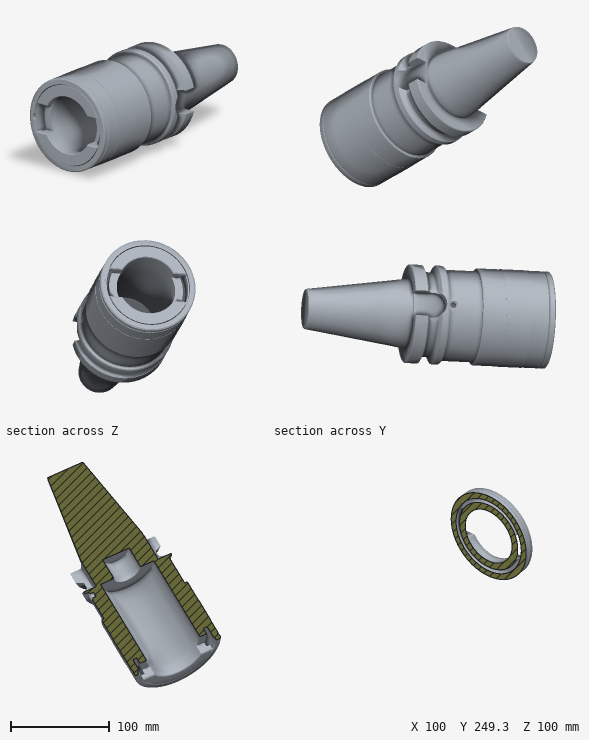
import cadquery as cq
import math

LENGTH = 249.3

GAUGE_RADIUS = 35.2
GAUGE_Y = 147.5
TAPER_PER_SIDE = 7 / 48
TIP_BEVEL_LENGTH = 1.7
TIP_RADIUS = 20.0

FLANGE_RADIUS = 49.98
FLANGE_REAR_Y = 144.5
FLANGE_FRONT_Y = 109.5
FLANGE_REAR_BEVEL = 0.7
FLANGE_FRONT_BEVEL_LENGTH = 1.5
FLANGE_FRONT_BEVEL_DROP = 0.87
GROOVE_RADIUS = 43.0
GROOVE_CENTRE_Y = 124.5
GROOVE_FLOOR_WIDTH = 7.5
GROOVE_MOUTH_WIDTH = 14.7

SLOT_WIDTH = 25.7
SLOT_END_Y = 112.5
SLOT_FLOOR_X = 35.5
SLOT_FLOOR_FILLET = 1.0

NECK_RADIUS = 46.0
SLEEVE_RADIUS = 49.0
MIDDLE_RING_RADIUS = 49.4
SLEEVE_REAR_Y = 75.0
SLEEVE_REAR_BEVEL = 0.7
MIDDLE_RING_REAR_Y = 50.9
MIDDLE_RING_FRONT_Y = 24.5
RING_GROOVE_CENTRE_Y = 6.2
RING_GROOVE_WIDTH = 2.0
RING_GROOVE_DEPTH = 1.0
NOSE_BEVEL_LENGTH = 1.0
NOSE_BEVEL_DROP = 1.2

BORE_RADIUS = 30.2
BORE_DEPTH = 112.2
BORE_BEVEL = 0.7
INNER_HOLE_RADIUS = 15.0
INNER_HOLE_DEPTH = 25.0

RIM_RADIUS = 42.1
RIM_THICKNESS = 5.7
INSERT_BODY_RADIUS = 38.1
GAP_LENGTH = 12.5
SEAM_WIDTH = 1.0
SEAM_DEPTH = 3.7

NOTCH_WIDTH = 29.5
NOTCH_BEVEL_WIDTH = 1.2
NOTCH_BEVEL_DEPTH = 1.0
NOTCH_DEPTH = 11.0

RELIEF_RADIUS = 3.7
RELIEF_DEPTH = 3.7
RELIEF_CENTRE_X = -41.0

SCREW_Y = 104.7
SCREW_HEAD_RADIUS = 4.2
SCREW_HOLE_RADIUS = 2.5
SCREW_HOLE_DEPTH = 5.0

CUT_MARGIN = 12.5


def cylinder(radius, depth):
    """Cylinder on the axis, from the nose face to the given depth."""
    return cq.Workplane("XZ").circle(radius).extrude(-depth)


def make_body():
    """Turned outline, from the taper tip down to the nose."""
    bevel_y = LENGTH - TIP_BEVEL_LENGTH
    bevel_radius = GAUGE_RADIUS - (bevel_y - GAUGE_Y) * TAPER_PER_SIDE
    groove_floor_half = GROOVE_FLOOR_WIDTH / 2
    groove_mouth_half = GROOVE_MOUTH_WIDTH / 2
    ring_groove_half = RING_GROOVE_WIDTH / 2
    outline = [
        (0, LENGTH),
        (TIP_RADIUS, LENGTH),
        (bevel_radius, bevel_y),
        (GAUGE_RADIUS, GAUGE_Y),
        (GAUGE_RADIUS, FLANGE_REAR_Y),
        (FLANGE_RADIUS - FLANGE_REAR_BEVEL, FLANGE_REAR_Y),
        (FLANGE_RADIUS, FLANGE_REAR_Y - FLANGE_REAR_BEVEL),
        (FLANGE_RADIUS, GROOVE_CENTRE_Y + groove_mouth_half),
        (GROOVE_RADIUS, GROOVE_CENTRE_Y + groove_floor_half),
        (GROOVE_RADIUS, GROOVE_CENTRE_Y - groove_floor_half),
        (FLANGE_RADIUS, GROOVE_CENTRE_Y - groove_mouth_half),
        (FLANGE_RADIUS, FLANGE_FRONT_Y + FLANGE_FRONT_BEVEL_LENGTH),
        (FLANGE_RADIUS - FLANGE_FRONT_BEVEL_DROP, FLANGE_FRONT_Y),
        (NECK_RADIUS, FLANGE_FRONT_Y),
        (NECK_RADIUS, SLEEVE_REAR_Y),
        (SLEEVE_RADIUS - SLEEVE_REAR_BEVEL, SLEEVE_REAR_Y),
        (SLEEVE_RADIUS, SLEEVE_REAR_Y - SLEEVE_REAR_BEVEL),
        (SLEEVE_RADIUS, MIDDLE_RING_REAR_Y),
        (MIDDLE_RING_RADIUS, MIDDLE_RING_REAR_Y),
        (MIDDLE_RING_RADIUS, MIDDLE_RING_FRONT_Y),
        (SLEEVE_RADIUS, MIDDLE_RING_FRONT_Y),
        (SLEEVE_RADIUS, RING_GROOVE_CENTRE_Y + ring_groove_half),
        (SLEEVE_RADIUS - RING_GROOVE_DEPTH, RING_GROOVE_CENTRE_Y),
        (SLEEVE_RADIUS, RING_GROOVE_CENTRE_Y - ring_groove_half),
        (SLEEVE_RADIUS, NOSE_BEVEL_LENGTH),
        (SLEEVE_RADIUS - NOSE_BEVEL_DROP, 0),
        (0, 0),
    ]
    return cq.Workplane("XY").polyline(outline).close().revolve(360, (0, 0), (0, 1))


def make_socket():
    """Stepped bore with a bevelled mouth, plus the seam and hidden gap around the insert."""
    bore_end = BORE_DEPTH + INNER_HOLE_DEPTH
    bore = [
        (0, 0),
        (BORE_RADIUS + BORE_BEVEL, 0),
        (BORE_RADIUS, BORE_BEVEL),
        (BORE_RADIUS, BORE_DEPTH),
        (INNER_HOLE_RADIUS, BORE_DEPTH),
        (INNER_HOLE_RADIUS, bore_end),
        (0, bore_end),
    ]
    seam_outer = RIM_RADIUS + SEAM_WIDTH
    seam = [(RIM_RADIUS, 0), (seam_outer, 0), (seam_outer, SEAM_DEPTH), (RIM_RADIUS, SEAM_DEPTH)]
    gap_end = RIM_THICKNESS + GAP_LENGTH
    gap = [
        (INSERT_BODY_RADIUS, RIM_THICKNESS),
        (RIM_RADIUS, RIM_THICKNESS),
        (RIM_RADIUS, gap_end),
        (INSERT_BODY_RADIUS, gap_end),
    ]
    profile = cq.Workplane("XY")
    for outline in (bore, seam, gap):
        profile = profile.polyline(outline).close()
    return profile.revolve(360, (0, 0), (0, 1))


def make_notches():
    """Straight channel across the insert with bevelled front edges."""
    half = NOTCH_WIDTH / 2
    section = [
        (0, half + NOTCH_BEVEL_WIDTH),
        (NOTCH_BEVEL_DEPTH, half),
        (NOTCH_DEPTH, half),
        (NOTCH_DEPTH, -half),
        (NOTCH_BEVEL_DEPTH, -half),
        (0, -half - NOTCH_BEVEL_WIDTH),
    ]
    channel = cq.Workplane("YZ").polyline(section).close().extrude(SLEEVE_RADIUS, both=True)
    return channel.intersect(cylinder(RIM_RADIUS, NOTCH_DEPTH))


def make_relief():
    """Shallow round relief in the sleeve beside the -X notch."""
    return cylinder(RELIEF_RADIUS, RELIEF_DEPTH).translate((RELIEF_CENTRE_X, 0, 0))


def make_drive_slot():
    """Round-ended slot on the +X side, open to the rear, with a filleted floor edge."""
    half = SLOT_WIDTH / 2
    arc_y = SLOT_END_Y + half
    rear_y = FLANGE_REAR_Y + CUT_MARGIN
    return (
        cq.Workplane("YZ", origin=(SLOT_FLOOR_X, 0, 0))
        .moveTo(rear_y, half)
        .lineTo(arc_y, half)
        .threePointArc((SLOT_END_Y, 0), (arc_y, -half))
        .lineTo(rear_y, -half)
        .close()
        .extrude(FLANGE_RADIUS + CUT_MARGIN - SLOT_FLOOR_X)
        .faces("<X")
        .edges()
        .fillet(SLOT_FLOOR_FILLET)
    )


def make_screw_hole():
    """Countersunk blind hole, entering the neck from the -X side."""
    sink_depth = SCREW_HEAD_RADIUS - SCREW_HOLE_RADIUS
    rim_x = math.sqrt(NECK_RADIUS**2 - SCREW_HEAD_RADIUS**2)
    outline = [
        (-NECK_RADIUS - CUT_MARGIN, SCREW_Y),
        (-NECK_RADIUS - CUT_MARGIN, SCREW_Y + SCREW_HEAD_RADIUS),
        (-rim_x, SCREW_Y + SCREW_HEAD_RADIUS),
        (-rim_x + sink_depth, SCREW_Y + SCREW_HOLE_RADIUS),
        (-NECK_RADIUS + SCREW_HOLE_DEPTH, SCREW_Y + SCREW_HOLE_RADIUS),
        (-NECK_RADIUS + SCREW_HOLE_DEPTH, SCREW_Y),
    ]
    profile = cq.Workplane("XY").polyline(outline).close()
    return profile.revolve(360, (0, SCREW_Y), (1, SCREW_Y))


result = make_body().cut(make_socket()).cut(make_notches()).cut(make_relief())
drive_slot = make_drive_slot()
for turn in (0, 180):
    result = result.cut(drive_slot.rotate((0, 0, 0), (0, 1, 0), turn))
result = result.cut(make_screw_hole())